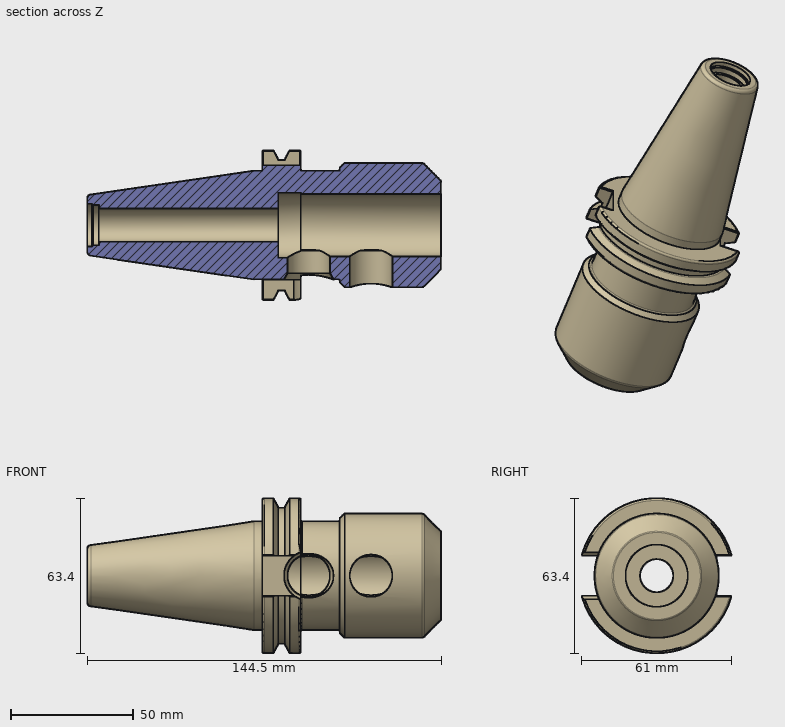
import cadquery as cq
import math

length = 144.5
taper_end = 67.9
taper_radius = 22.2
taper_slope = 7 / 48
tip_radius = taper_radius - taper_end * taper_slope
tip_fillet = 1.6

flange_start = 71.4
flange_end = 87.2
flange_radius = 31.7
flange_rim_fillet = 0.9
groove_center = (flange_start + flange_end) / 2
groove_mouth_half = 3.3
groove_wall_half = 1.6
groove_wall_radius = 28.6
groove_floor_half = 1.3
groove_floor_radius = 27.9

neck_fillet = 0.5
head_start = 103.0
head_radius = 25.4
head_rear_chamfer = 2.0
nose_chamfer = 7.4
nose_shoulder_fillet = 1.5
nose_edge_fillet = 0.7

socket_mouth_radius = 17.3 / 2
socket_mouth_depth = 1.9
socket_radius = 16.3 / 2
socket_depth = 4.8
passage_radius = 13.5 / 2
relief_start = 78.0
relief_radius = 26.5 / 2
shank_start = flange_end
shank_radius = 25.4 / 2

slot_width = 16.2
front_slot_floor = -22.17
back_slot_floor = 24.5
slot_edge_chamfer = 0.5

screw_radius = 17.3 / 2
screw_spacing = 25.4
rear_screw_x = 90.4
front_screw_x = rear_screw_x + screw_spacing
drill_shoulder_y = -10.4
drill_half_angle = math.radians(59)
countersink_radius = 10.1
countersink_half_angle = math.radians(30)


def turned(points):
    """Revolve (x, radius) points, closed along the axis, about X."""
    profile = [(points[0][0], 0)] + points + [(points[-1][0], 0)]
    return cq.Workplane("XY").polyline(profile).close().revolve(360, (0, 0, 0), (1, 0, 0))


def round_rim(body, x, radius, fillet):
    """Round the circular edge with the given position and radius."""
    tolerance = 0.01
    rims = []
    for edge in body.edges("%CIRCLE").vals():
        right_place = abs(edge.arcCenter().x - x) < tolerance
        if right_place and abs(edge.radius() - radius) < tolerance:
            rims.append(edge)
    return body.newObject(rims).fillet(fillet)


def make_body():
    body = turned([
        (0, tip_radius),
        (taper_end, taper_radius),
        (flange_start, taper_radius),
        (flange_start, flange_radius),
        (groove_center - groove_mouth_half, flange_radius),
        (groove_center - groove_wall_half, groove_wall_radius),
        (groove_center - groove_floor_half, groove_floor_radius),
        (groove_center + groove_floor_half, groove_floor_radius),
        (groove_center + groove_wall_half, groove_wall_radius),
        (groove_center + groove_mouth_half, flange_radius),
        (flange_end, flange_radius),
        (flange_end, taper_radius),
        (head_start, taper_radius),
        (head_start, head_radius - head_rear_chamfer),
        (head_start + head_rear_chamfer, head_radius),
        (length - nose_chamfer, head_radius),
        (length, head_radius - nose_chamfer),
    ])
    body = round_rim(body, 0, tip_radius, tip_fillet)
    body = round_rim(body, flange_start, flange_radius, flange_rim_fillet)
    body = round_rim(body, flange_end, flange_radius, flange_rim_fillet)
    body = round_rim(body, flange_end, taper_radius, neck_fillet)
    body = round_rim(body, head_start, taper_radius, neck_fillet)
    body = round_rim(body, length - nose_chamfer, head_radius, nose_shoulder_fillet)
    return round_rim(body, length, head_radius - nose_chamfer, nose_edge_fillet)


def make_bore():
    return turned([
        (0, socket_mouth_radius),
        (socket_mouth_depth, socket_mouth_radius),
        (socket_mouth_depth + socket_mouth_radius - socket_radius, socket_radius),
        (socket_depth, socket_radius),
        (socket_depth, passage_radius),
        (relief_start, passage_radius),
        (relief_start, relief_radius),
        (shank_start, relief_radius),
        (shank_start, shank_radius),
        (length, shank_radius),
    ])


def make_slot(floor_y, side):
    """Flat-bottomed slot across the flange; side is -1 for -Y and 1 for +Y."""
    return cq.Workplane("XY").box(
        flange_end - flange_start, flange_radius, slot_width
    ).translate((groove_center, floor_y + side * flange_radius / 2, 0))


def make_screw_hole(x, countersunk):
    """Drilled hole with a conical bottom, opening on the -Y side."""
    mouth_y = -flange_radius
    tip_y = drill_shoulder_y + screw_radius / math.tan(drill_half_angle)
    points = [(0, tip_y), (screw_radius, drill_shoulder_y)]
    if countersunk:
        flare = math.tan(countersink_half_angle)
        cone_start_y = front_slot_floor + (countersink_radius - screw_radius) / flare
        points += [
            (screw_radius, cone_start_y),
            (countersink_radius, front_slot_floor),
            (countersink_radius, mouth_y),
        ]
    else:
        points += [(screw_radius, mouth_y)]
    points += [(0, mouth_y)]
    hole = cq.Workplane("XY").polyline(points).close().revolve(360, (0, 0, 0), (0, 1, 0))
    return hole.translate((x, 0, 0))


def break_slot_edges(body):
    """Chamfer the sharp slot edges on the flange rim and on its taper-side face."""
    rim_edges = []
    for edge in body.edges("|X").vals():
        if abs(edge.Center().y) > groove_wall_radius:
            rim_edges.append(edge)
    face_edges = []
    for edge in body.edges("|Y").vals():
        if abs(edge.Center().x - flange_start) < slot_edge_chamfer:
            face_edges.append(edge)
    return body.newObject(rim_edges + face_edges).chamfer(slot_edge_chamfer)


slotted_body = (
    make_body()
    .cut(make_slot(front_slot_floor, -1))
    .cut(make_slot(back_slot_floor, 1))
)
result = (
    break_slot_edges(slotted_body)
    .cut(make_bore())
    .cut(make_screw_hole(rear_screw_x, countersunk=True))
    .cut(make_screw_hole(front_screw_x, countersunk=False))
)